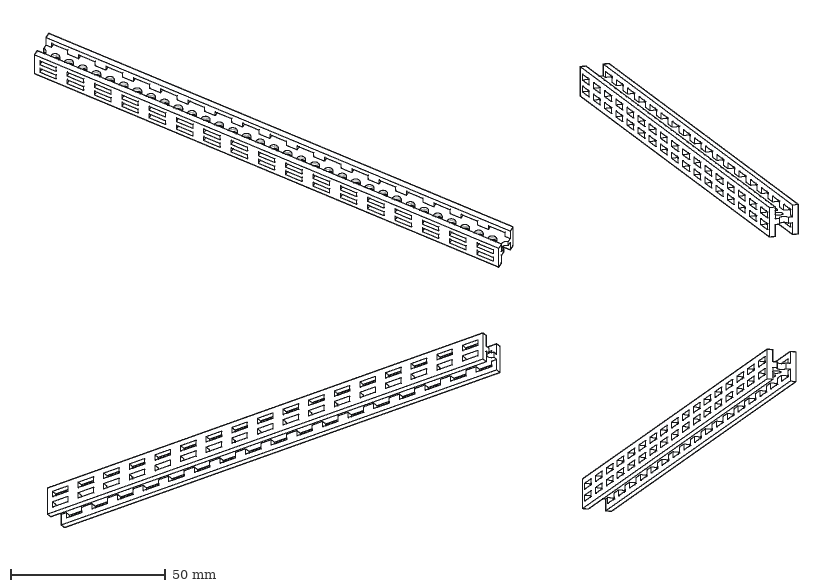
import cadquery as cq

length = 170.0
slot_columns = 17

slot_pitch = length / slot_columns
section = slot_pitch

band_count = 5
wall_thickness = section / band_count
slot_height = wall_thickness
slot_offset = (wall_thickness + slot_height) / 2

slot_length = slot_pitch - 2 * wall_thickness

hole_pitch = slot_pitch / 2
hole_count = 2 * slot_columns + 1
hole_diameter = hole_pitch - wall_thickness


def make_h_beam():
    """H-section along X: two upright flanges joined by a web at mid-height."""
    beam = cq.Workplane("XY").box(length, section, wall_thickness)
    flange_offset = (section - wall_thickness) / 2
    for side in (-1, 1):
        flange = cq.Workplane("XY").box(length, wall_thickness, section)
        beam = beam.union(flange.translate((0, side * flange_offset, 0)))
    return beam


def make_flange_slots():
    """Slots through both flanges, with one row just above the web and one just below it."""
    slots = cq.Workplane("XZ")
    for side in (-1, 1):
        row_centers = [
            ((column - (slot_columns - 1) / 2) * slot_pitch, side * slot_offset)
            for column in range(slot_columns)
        ]
        slots = slots.pushPoints(row_centers).rect(slot_length, slot_height)
    return slots.extrude(section, both=True)


def make_web_holes():
    """Row of round holes through the web, with a half hole at each end of the beam."""
    return (
        cq.Workplane("XY")
        .rarray(hole_pitch, 1.7, hole_count, 1)
        .circle(hole_diameter / 2)
        .extrude(section, both=True)
    )


result = make_h_beam().cut(make_flange_slots()).cut(make_web_holes())